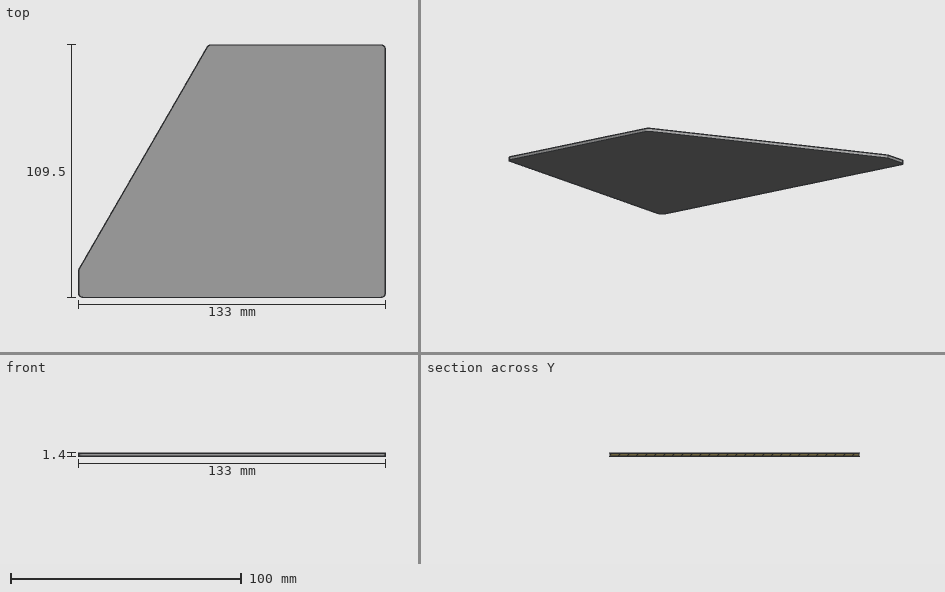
import cadquery as cq
import math

length = 133.0
width = 109.5
thickness = 1.4

left_side_height = 12.0
slope_angle = 60.0
slope_run = (width - left_side_height) / math.tan(math.radians(slope_angle))

corner_radius = 2.0


def make_plate():
    """Flat five-sided plate with one sloped side."""
    outline = [
        (0, 0),
        (length, 0),
        (length, width),
        (slope_run, width),
        (0, left_side_height),
    ]
    return cq.Workplane("XY").polyline(outline).close().extrude(thickness)


def round_corners(plate):
    """Round the front and back corners; the slope meets the left side at a sharp corner."""
    return plate.edges("|Z and (<Y or >Y)").fillet(corner_radius)


result = round_corners(make_plate())